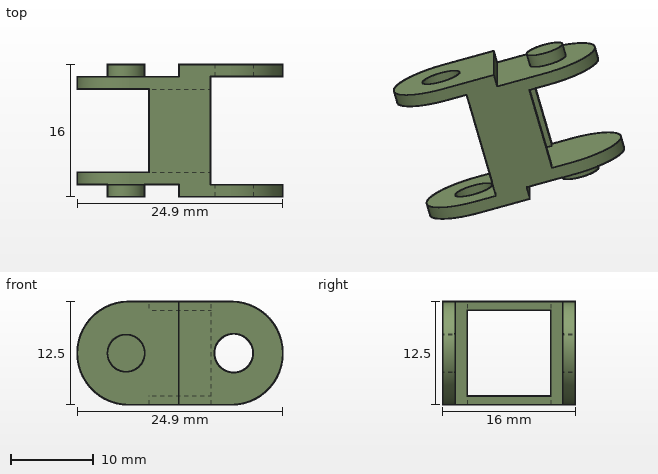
import cadquery as cq

length = 24.85
width = 16.0
height = 12.5
end_radius = height / 2

plate_thickness = 1.5
hole_plate_inner = width / 2 - plate_thickness
pin_plate_inner = hole_plate_inner - plate_thickness
step_x = 12.28

web_start = 8.67
web_end = 16.13
web_thickness = 1.1

pin_diameter = 4.5
pin_x = 5.91
hole_diameter = 4.65
hole_x = 18.9


def block(x_start, x_end, y_start, y_end, z_start, z_end):
    """Box between opposite corner coordinates."""
    return cq.Workplane("XY").box(
        x_end - x_start, y_end - y_start, z_end - z_start, centered=False
    ).translate((x_start, y_start, z_start))


def disc(x, diameter, y_start, y_end):
    """Cylinder along Y at mid height."""
    return (
        cq.Workplane("XZ", origin=(x, y_start, 0))
        .circle(diameter / 2)
        .extrude(y_start - y_end)
    )


def side():
    """Pin plate, hole plate and pin on the +Y side."""
    pin_plate = disc(end_radius, height, pin_plate_inner, hole_plate_inner).union(
        block(end_radius, web_end, pin_plate_inner, hole_plate_inner, -height / 2, height / 2)
    )
    hole_plate_center = length - end_radius
    hole_plate = disc(hole_plate_center, height, hole_plate_inner, width / 2)
    hole_plate = hole_plate.intersect(
        block(step_x, length, hole_plate_inner, width / 2, -height / 2, height / 2)
    ).union(
        block(step_x, hole_plate_center, hole_plate_inner, width / 2, -height / 2, height / 2)
    )
    hole = disc(hole_x, hole_diameter, hole_plate_inner, width / 2)
    pin = disc(pin_x, pin_diameter, hole_plate_inner, width / 2)
    return pin_plate.union(hole_plate.cut(hole)).union(pin)


def top_web():
    """Flat web flush with the top edges of the pin plates."""
    return block(
        web_start, web_end, -hole_plate_inner, hole_plate_inner,
        height / 2 - web_thickness, height / 2,
    )


plus_y_side = side()
web = top_web()
result = (
    plus_y_side.union(plus_y_side.mirror("XZ"))
    .union(web)
    .union(web.mirror("XY"))
)